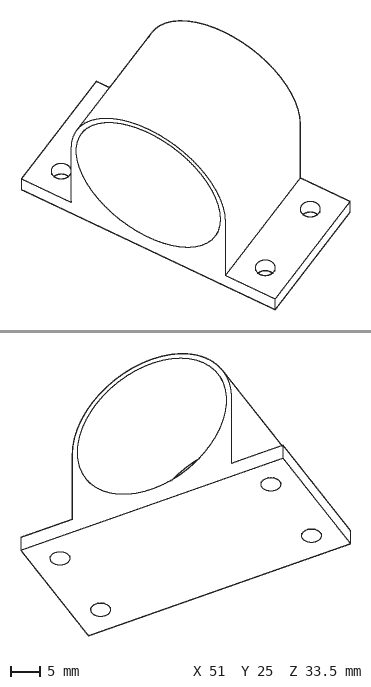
import cadquery as cq

base_length = 51.0
depth = 25.0
base_thickness = 3.0

overall_height = 33.5
housing_diameter = 31.0
bore_diameter = 29.0
housing_radius = housing_diameter / 2
axis_height = overall_height - housing_radius

hole_diameter = 3.4
hole_inset = 5.0
hole_spacing_x = base_length - 2 * hole_inset
hole_spacing_y = depth - 2 * hole_inset


def make_base():
    """Flat plate resting on Z = 0, centred on the Z axis."""
    return cq.Workplane("XY").box(base_length, depth, base_thickness, centered=(True, True, False))


def make_housing():
    """Straight-sided block with a half-round top."""
    return (
        cq.Workplane("XZ")
        .moveTo(-housing_radius, 0)
        .lineTo(housing_radius, 0)
        .lineTo(housing_radius, axis_height)
        .threePointArc((0, overall_height), (-housing_radius, axis_height))
        .close()
        .extrude(depth / 2, both=True)
    )


def make_bore():
    """Cylinder along Y, concentric with the round top."""
    return (
        cq.Workplane("XZ")
        .center(0, axis_height)
        .circle(bore_diameter / 2)
        .extrude(depth / 2, both=True)
    )


def make_mounting_holes():
    """Four vertical cylinders through the base flanges."""
    return (
        cq.Workplane("XY")
        .rect(hole_spacing_x, hole_spacing_y, forConstruction=True)
        .vertices()
        .circle(hole_diameter / 2)
        .extrude(base_thickness)
    )


body = make_base().union(make_housing())
result = body.cut(make_bore()).cut(make_mounting_holes())